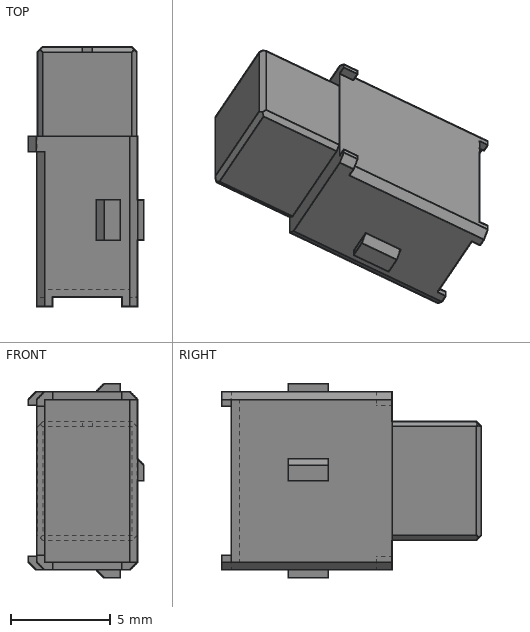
import cadquery as cq

body_width = 5.1
body_length = 8.61
body_height = 9.0
body_chamfer = 0.4
wall = 0.4

rim_notch_depth = 0.48
rim_post_width = 0.8
rim_post_height = 0.75
floor_depth = rim_notch_depth + wall

plug_width = 5.02
plug_length = 4.5
plug_height = 6.0
plug_center_x = body_width / 2
plug_chamfer = 0.26
key_width = 0.5

hook_overhang = 0.43
hook_length = 0.8
hook_height = 0.7

latch_length = 2.03
latch_front_y = 3.36
latch_rise = 0.4
latch_start_x = 3.0
latch_end_x = 4.23

side_tab_rise = 0.31
side_tab_height = 1.1

half_height = body_height / 2


def prism(points, front_y, length):
    """Extrude an XZ outline along +Y, starting at front_y."""
    outline = cq.Workplane("XZ", origin=(0, front_y, 0)).polyline(points).close()
    return outline.extrude(-length)


def box(x_range, y_range, z_range):
    """Box spanning the given (low, high) ranges."""
    (x0, x1), (y0, y1), (z0, z1) = x_range, y_range, z_range
    return cq.Workplane("XY").box(x1 - x0, y1 - y0, z1 - z0, centered=False).translate((x0, y0, z0))


def with_mirror(shape):
    """Shape together with its mirror image below Z = 0."""
    return shape.union(shape.mirror("XY"))


def make_body():
    """Chamfered block with a shallow recess in its front and a notch in each rim wall."""
    body = box((0, body_width), (0, body_length), (-half_height, half_height))
    body = body.edges("|Y").chamfer(body_chamfer)

    inner_x = (wall, body_width - wall)
    inner_top = half_height - wall
    recess = box(inner_x, (0, floor_depth), (-inner_top, inner_top))

    notch_y = (0, rim_notch_depth)
    post_z = half_height - rim_post_height
    left_notch = box((0, wall), notch_y, (-post_z, post_z))
    right_notch = box((body_width - wall, body_width), notch_y, (-inner_top, inner_top))
    top_notch = box((rim_post_width, body_width - rim_post_width), notch_y, (inner_top, half_height))
    return body.cut(recess).cut(left_notch).cut(right_notch).cut(with_mirror(top_notch))


def make_plug():
    """Smaller chamfered block behind the body, with a key notch in its top rear edge."""
    plug_x = (plug_center_x - plug_width / 2, plug_center_x + plug_width / 2)
    end_y = body_length + plug_length
    plug_top = plug_height / 2
    block = box(plug_x, (body_length, end_y), (-plug_top, plug_top))

    plug = block.edges("|Y").chamfer(plug_chamfer)
    plug = plug.intersect(block.edges("|X and >Y").chamfer(plug_chamfer))
    plug = plug.intersect(block.edges("|Z and >Y").chamfer(plug_chamfer))

    key_x = (plug_center_x - key_width / 2, plug_center_x + key_width / 2)
    key_notch = box(key_x, (end_y - plug_chamfer, end_y), (plug_top - plug_chamfer, plug_top))
    return plug.cut(key_notch)


def make_hooks():
    """Hooks that overhang the -X side at the rear of the body, top and bottom."""
    tip_x = -hook_overhang
    hook_bottom = half_height - hook_height
    points = [
        (tip_x, hook_bottom),
        (tip_x, half_height - body_chamfer),
        (tip_x + body_chamfer, half_height),
        (body_chamfer, half_height),
        (body_chamfer, hook_bottom),
    ]
    return with_mirror(prism(points, body_length - hook_length, hook_length))


def make_latches():
    """Ramped latches on the top and bottom faces of the body."""
    points = [
        (latch_start_x, half_height),
        (latch_start_x + latch_rise, half_height + latch_rise),
        (latch_end_x, half_height + latch_rise),
        (latch_end_x, half_height),
    ]
    return with_mirror(prism(points, latch_front_y, latch_length))


def make_side_tab():
    """Tab on the +X face, with a ramp on its upper side."""
    tip_x = body_width + side_tab_rise
    points = [
        (body_width, 0),
        (tip_x, 0),
        (tip_x, side_tab_height - side_tab_rise),
        (body_width, side_tab_height),
    ]
    return prism(points, latch_front_y, latch_length)


result = make_body().union(make_plug()).union(make_hooks()).union(make_latches()).union(make_side_tab())